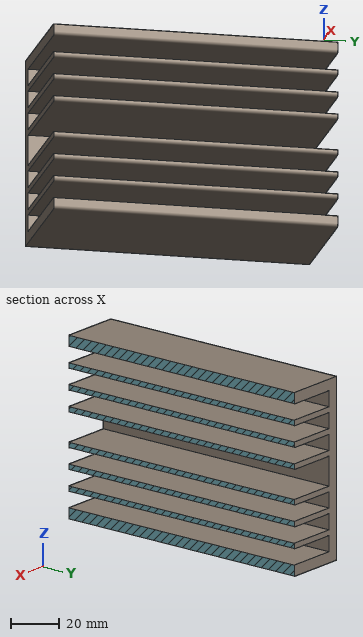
import cadquery as cq

depth = 55.0
length = 120.0
height = 80.0

wall = 5.0
fin = 2.5
gap = 7.0
fins_per_side = 3
tip_radius = fin / 2

pitch = fin + gap
outer_wall_z = (height - wall) / 2
first_fin_z = outer_wall_z - wall / 2 - gap - fin / 2


def base_plate():
    """Vertical plate that carries the walls and fins."""
    return cq.Workplane("XY").box(wall, length, height, centered=(False, True, True))


def outer_wall(center_z):
    """Thick horizontal wall with its two tip edges rounded."""
    return (
        cq.Workplane("XY")
        .box(depth, length, wall, centered=(False, True, True))
        .edges(">X and |Y")
        .fillet(tip_radius)
        .translate((0, 0, center_z))
    )


def inner_fin(center_z):
    """Thin horizontal fin with a fully rounded tip."""
    straight_end = depth - tip_radius
    return (
        cq.Workplane("XZ")
        .moveTo(0, -fin / 2)
        .lineTo(straight_end, -fin / 2)
        .threePointArc((depth, 0), (straight_end, fin / 2))
        .lineTo(0, fin / 2)
        .close()
        .extrude(length / 2, both=True)
        .translate((0, 0, center_z))
    )


result = base_plate()
for side in (1, -1):
    result = result.union(outer_wall(side * outer_wall_z))
    for index in range(fins_per_side):
        fin_z = first_fin_z - index * pitch
        result = result.union(inner_fin(side * fin_z))